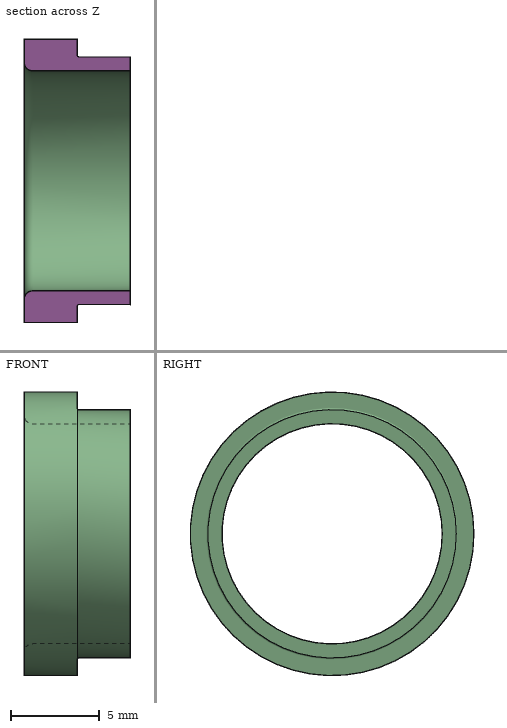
import cadquery as cq

length = 6.0
flange_length = length / 2
flange_diameter = 16.0
sleeve_diameter = 14.0
bore_diameter = 12.4
entry_radius = 0.5
corner_radius = 0.1


def cylinder(diameter, height):
    """Solid cylinder running along +X from the flange face at X = 0."""
    return cq.Workplane("YZ").circle(diameter / 2).extrude(height)


def circle_at(x, diameter):
    """Selector for the circular edge of the given diameter at position x."""
    margin = 0.02
    reach = diameter / 2 + margin
    return cq.selectors.BoxSelector(
        (x - margin, -reach, -reach), (x + margin, reach, reach), boundingbox=True
    )


body = cylinder(flange_diameter, flange_length).union(cylinder(sleeve_diameter, length))
body = body.edges(circle_at(flange_length, sleeve_diameter)).fillet(corner_radius)

body = body.cut(cylinder(bore_diameter, length))
result = body.edges(circle_at(0, bore_diameter)).fillet(entry_radius)